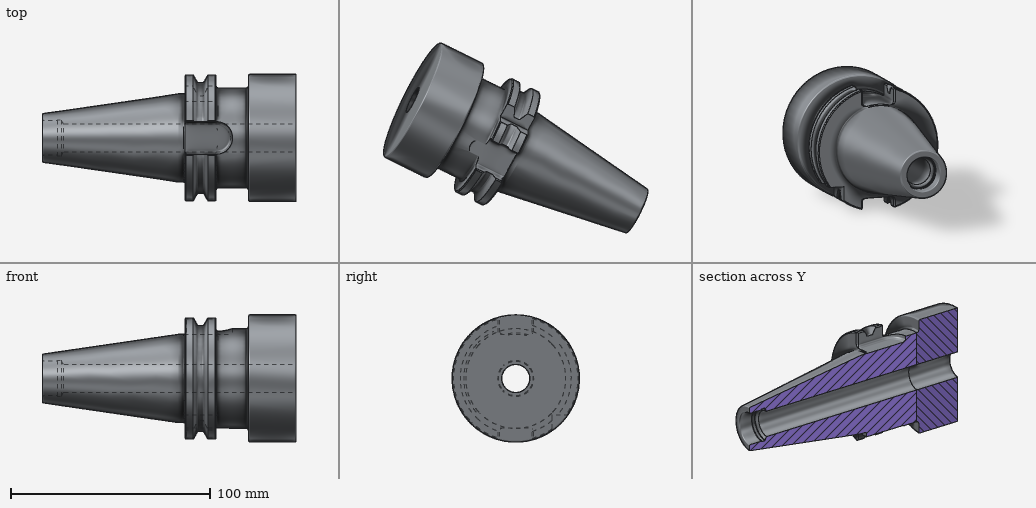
import cadquery as cq
import math


TOTAL_LENGTH = 127.2
GAUGE_X = 68.3
FLANGE_FRONT_X = 71.5
FLANGE_BACK_X = 87.2
GROOVE_X = (FLANGE_FRONT_X + FLANGE_BACK_X) / 2
NUT_SEAT_X = 102.2
NUT_RIM_X = 103.3

GAUGE_DIAMETER = 44.4
GAUGE_R = GAUGE_DIAMETER / 2
TAPER_RATIO = 7 / 24
SMALL_END_R = GAUGE_R - GAUGE_X * TAPER_RATIO / 2
FLANGE_R = 31.7
NECK_R = 25.1
NUT_DIAMETER = 64.0
NUT_R = NUT_DIAMETER / 2
GROOVE_R = 27.9
BORE_R = 7.0
COUNTERBORE_R = 8.7

TAPER_END_ROUND = 0.9
FLANGE_ROOT_ROUND = 0.6
FLANGE_CHAMFER = 0.5
NECK_ROOT_ROUND = 1.0
NUT_ROOT_ROUND = NUT_RIM_X - NUT_SEAT_X
NUT_FRONT_ROUND = 1.0
NUT_END_ROUND = 0.6

GROOVE_FLOOR_WIDTH = 3.0
GROOVE_HALF_ANGLE = 30.0
GROOVE_ROUND = 0.8

COUNTERBORE_DEPTH = 7.6
COUNTERBORE_ROUND = 0.8
RELIEF_R = 9.0
RELIEF_WIDTH = 1.9
CONE_HALF_ANGLE = 60.0

SLOT_WIDTH = 16.4
SLOT_HALF_WIDTH = SLOT_WIDTH / 2
SLOT_FLOOR_ROUND = 1.8
SLOT_CHAMFER = 0.8
SLOT_CHAMFER_ANGLE = 45.0
TOP_SLOT_FLOOR = 22.1
BOTTOM_SLOT_FLOOR = 24.8

NOTCH_OFFSET = 18.2

CUT_MARGIN = 2.5


def revolve_about_x(outline):
    """Close an outline drawn as axial position and radius, and turn it about the X axis."""
    return outline.close().revolve(360, (0, 0, 0), (1, 0, 0))


def holder_blank():
    outline = (
        cq.Workplane("XZ")
        .moveTo(0, 0)
        .lineTo(0, SMALL_END_R)
        .lineTo(GAUGE_X, GAUGE_R)
        .lineTo(FLANGE_FRONT_X - FLANGE_ROOT_ROUND, GAUGE_R)
        .radiusArc((FLANGE_FRONT_X, GAUGE_R + FLANGE_ROOT_ROUND), -FLANGE_ROOT_ROUND)
        .lineTo(FLANGE_FRONT_X, FLANGE_R - FLANGE_CHAMFER)
        .lineTo(FLANGE_FRONT_X + FLANGE_CHAMFER, FLANGE_R)
        .lineTo(FLANGE_BACK_X - FLANGE_CHAMFER, FLANGE_R)
        .lineTo(FLANGE_BACK_X, FLANGE_R - FLANGE_CHAMFER)
        .lineTo(FLANGE_BACK_X, NECK_R + NECK_ROOT_ROUND)
        .radiusArc((FLANGE_BACK_X + NECK_ROOT_ROUND, NECK_R), -NECK_ROOT_ROUND)
        .lineTo(NUT_SEAT_X, NECK_R)
        .lineTo(NUT_SEAT_X, 0)
    )
    return revolve_about_x(outline).faces("<X").edges().fillet(TAPER_END_ROUND)


def flange_groove():
    floor_half = GROOVE_FLOOR_WIDTH / 2
    rim_r = FLANGE_R + CUT_MARGIN
    rim_half = floor_half + (rim_r - GROOVE_R) * math.tan(math.radians(GROOVE_HALF_ANGLE))
    outline = (
        cq.Workplane("XZ")
        .moveTo(GROOVE_X - rim_half, rim_r)
        .lineTo(GROOVE_X - floor_half, GROOVE_R)
        .lineTo(GROOVE_X + floor_half, GROOVE_R)
        .lineTo(GROOVE_X + rim_half, rim_r)
    )
    floor_edges = cq.selectors.RadiusNthSelector(0)
    ring = revolve_about_x(outline)
    return ring.edges("%CIRCLE").edges(floor_edges).fillet(GROOVE_ROUND)


def bore():
    """Through bore with a counterbore that ends in a relief groove and a steep cone."""
    mouth_r = COUNTERBORE_R + COUNTERBORE_ROUND
    cone_start_x = COUNTERBORE_DEPTH + RELIEF_WIDTH
    cone_end_x = cone_start_x + (COUNTERBORE_R - BORE_R) / math.tan(math.radians(CONE_HALF_ANGLE))
    outline = (
        cq.Workplane("XZ")
        .moveTo(0, 0)
        .lineTo(0, mouth_r)
        .radiusArc((COUNTERBORE_ROUND, COUNTERBORE_R), -COUNTERBORE_ROUND)
        .lineTo(COUNTERBORE_DEPTH, COUNTERBORE_R)
        .lineTo(COUNTERBORE_DEPTH, RELIEF_R)
        .lineTo(cone_start_x, RELIEF_R)
        .lineTo(cone_start_x, COUNTERBORE_R)
        .lineTo(cone_end_x, BORE_R)
        .lineTo(TOTAL_LENGTH, BORE_R)
        .lineTo(TOTAL_LENGTH, 0)
    )
    return revolve_about_x(outline)


def slot_channel(floor):
    """Channel open toward the taper, with a round end behind the flange and a rounded floor."""
    height = FLANGE_R + CUT_MARGIN - floor
    return (
        cq.Workplane("XY", origin=(0, 0, floor))
        .moveTo(FLANGE_FRONT_X, -SLOT_HALF_WIDTH)
        .lineTo(FLANGE_BACK_X, -SLOT_HALF_WIDTH)
        .radiusArc((FLANGE_BACK_X, SLOT_HALF_WIDTH), -SLOT_HALF_WIDTH)
        .lineTo(FLANGE_FRONT_X, SLOT_HALF_WIDTH)
        .close()
        .extrude(height)
        .faces("<Z")
        .edges("not <X")
        .fillet(SLOT_FLOOR_ROUND)
    )


def slot_front_chamfer(floor):
    """Flare of the slot walls and floor corners at the front face of the flange."""
    height = FLANGE_R + CUT_MARGIN - floor
    mouth_width = SLOT_WIDTH + 2 * SLOT_CHAMFER
    mouth = (
        cq.Sketch()
        .rect(mouth_width, height)
        .vertices("<Y")
        .fillet(SLOT_FLOOR_ROUND)
    )
    return (
        cq.Workplane("YZ", origin=(FLANGE_FRONT_X, 0, floor + height / 2))
        .placeSketch(mouth)
        .extrude(SLOT_CHAMFER, taper=SLOT_CHAMFER_ANGLE)
    )


def slot_rim_chamfer():
    """Flare of the slot walls along the outer rim of the flange."""
    rim_z = math.sqrt(FLANGE_R**2 - SLOT_HALF_WIDTH**2)
    reach = SLOT_CHAMFER + CUT_MARGIN
    mouth_half = SLOT_HALF_WIDTH + reach
    return (
        cq.Workplane("YZ", origin=(FLANGE_FRONT_X, 0, rim_z - SLOT_CHAMFER))
        .moveTo(-SLOT_HALF_WIDTH, 0)
        .lineTo(-mouth_half, reach)
        .lineTo(mouth_half, reach)
        .lineTo(SLOT_HALF_WIDTH, 0)
        .close()
        .extrude(FLANGE_BACK_X - FLANGE_FRONT_X)
    )


def slot_cutters(floor):
    return [slot_channel(floor), slot_front_chamfer(floor), slot_rim_chamfer()]


def corner_notch():
    size = FLANGE_R - NOTCH_OFFSET
    return (
        cq.Workplane("XY")
        .box(FLANGE_BACK_X - FLANGE_FRONT_X, size, size, centered=False)
        .translate((FLANGE_FRONT_X, NOTCH_OFFSET, -FLANGE_R))
    )


def make_holder():
    top_slot = slot_cutters(TOP_SLOT_FLOOR)
    bottom_slot = [
        cutter.rotate((0, 0, 0), (1, 0, 0), 180) for cutter in slot_cutters(BOTTOM_SLOT_FLOOR)
    ]
    body = holder_blank()
    for cutter in [flange_groove(), bore(), *top_slot, *bottom_slot, corner_notch()]:
        body = body.cut(cutter)
    return body


def make_nut():
    """Clamping nut that meets the neck in a plane, with a rounded collar at the joint."""
    outline = (
        cq.Workplane("XZ")
        .moveTo(NUT_SEAT_X, BORE_R)
        .lineTo(NUT_SEAT_X, NECK_R)
        .radiusArc((NUT_RIM_X, NECK_R + NUT_ROOT_ROUND), -NUT_ROOT_ROUND)
        .lineTo(NUT_RIM_X, NUT_R - NUT_FRONT_ROUND)
        .radiusArc((NUT_RIM_X + NUT_FRONT_ROUND, NUT_R), NUT_FRONT_ROUND)
        .lineTo(TOTAL_LENGTH - NUT_END_ROUND, NUT_R)
        .radiusArc((TOTAL_LENGTH, NUT_R - NUT_END_ROUND), NUT_END_ROUND)
        .lineTo(TOTAL_LENGTH, BORE_R)
    )
    return revolve_about_x(outline)


holder = make_holder()
nut = make_nut()

result = cq.Compound.makeCompound([holder.val(), nut.val()])